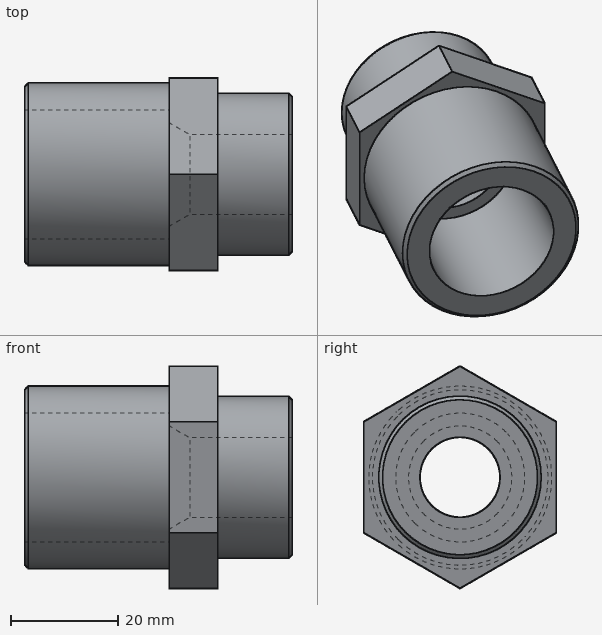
import math

import cadquery as cq

total_length = 50.0
socket_length = 27.0
hex_length = 9.1
hex_end = socket_length + hex_length
spigot_length = total_length - hex_end

socket_diameter = 34.2
spigot_diameter = 30.35
hex_across_flats = 36.0
hex_across_corners = hex_across_flats / math.cos(math.radians(30))
end_chamfer = 0.7

socket_bore_diameter = 24.1
socket_bore_depth = socket_length
seat_mouth_diameter = 19.3
through_bore_diameter = 14.9
seat_half_angle = 30.0
seat_length = (seat_mouth_diameter - through_bore_diameter) / 2 / math.tan(math.radians(seat_half_angle))


def section_plane(x):
    """Workplane across the part axis at the given X position."""
    return cq.Workplane("YZ", origin=(x, 0, 0))


def cylinder(start, length, diameter):
    """Cylinder along X beginning at the given X position."""
    return section_plane(start).circle(diameter / 2).extrude(length)


def hexagon_collar():
    """Hexagonal collar with one pair of corners pointing along Z."""
    return (
        section_plane(socket_length)
        .transformed(rotate=(0, 0, 90))
        .polygon(6, hex_across_corners)
        .extrude(hex_length)
    )


def tapered_seat():
    """Cone narrowing from the floor of the socket bore to the through bore."""
    return (
        section_plane(socket_bore_depth)
        .circle(seat_mouth_diameter / 2)
        .workplane(offset=seat_length)
        .circle(through_bore_diameter / 2)
        .loft(ruled=True)
    )


socket = cylinder(0, socket_length, socket_diameter).faces("<X").chamfer(end_chamfer)
spigot = cylinder(hex_end, spigot_length, spigot_diameter).faces(">X").chamfer(end_chamfer)
body = socket.union(hexagon_collar()).union(spigot)

result = (
    body.cut(cylinder(0, socket_bore_depth, socket_bore_diameter))
    .cut(tapered_seat())
    .cut(cylinder(0, total_length, through_bore_diameter))
)